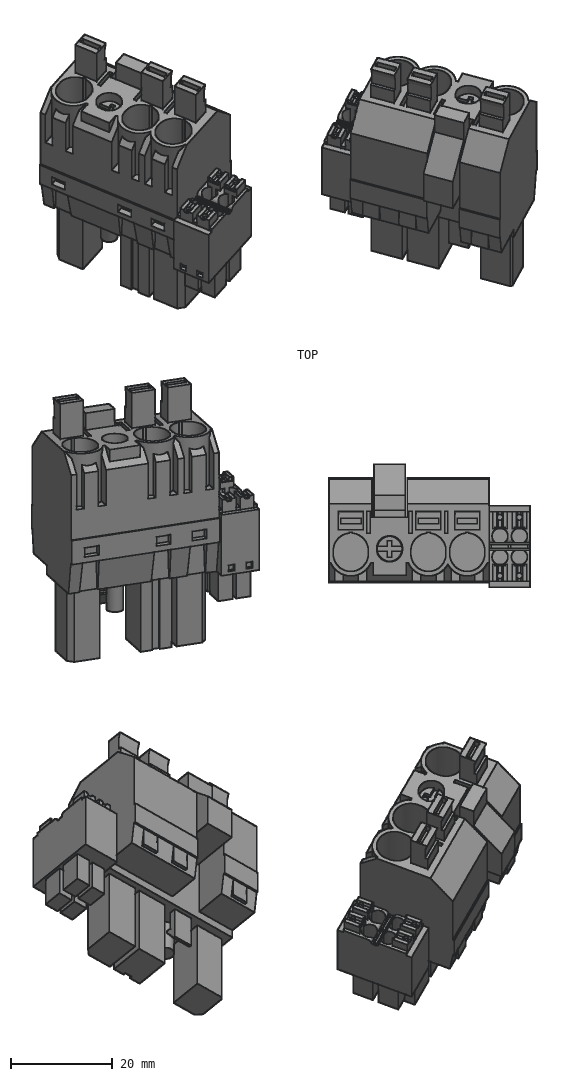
import cadquery as cq
import math


HOUSING_WIDTH = 31.35
HOUSING_DEPTH = 20.0
HOUSING_HEIGHT = 29.2
FRONT_CHAMFER = 3.65
BACK_CHAMFER = 4.85
BAND_BOTTOM = 6.8
BAND_TOP = 11.85
BAND_PROUD = 0.3
SKIRT_TOP_INSET = 0.2
SKIRT_FRONT_INSET = 1.35
SKIRT_BACK_INSET = 0.7
BACK_STEP_Y = 12.55
BACK_STEP_HEIGHT = 1.95

PITCH = 7.6
FIRST_POLE_X = 4.25
SCREW_X = FIRST_POLE_X + PITCH
POLE_XS = [FIRST_POLE_X, FIRST_POLE_X + 2 * PITCH, FIRST_POLE_X + 3 * PITCH]

WIRE_HOLE_WIDTH = 6.9
WIRE_HOLE_LENGTH = 7.5
WIRE_HOLE_Y = 5.7
WIRE_HOLE_DEPTH = 17.7
KEYWAY_WIDTH = 0.6
KEYWAY_DEPTH = 0.15
COLLAR_WALL = 0.9
GROOVE_INNER = 1.5
GROOVE_OUTER = 3.15
GROOVE_BOTTOM = 18.1

WINDOW_WIDTH = 3.0
WINDOW_HEIGHT = 1.95
WINDOW_BOTTOM = 7.95
WINDOW_DEPTH = 1.3
RECESS_TOP_WIDTH = 3.5
RECESS_BOTTOM_WIDTH = 3.9
RECESS_BACK_Y = 1.8
PAD_BOTTOM = 2.6
PAD_THICKNESS = 1.55

SLIT_FRONT_Y = 9.45
SLIT_LENGTH = 4.3
SLIT_WIDTH = 0.7
SLIT_DEPTH = 2.1
SLIT_XS = [7.75, 15.95, 23.0]

PLUG_WIDTH = 6.55
PLUG_FRONT_Y = 3.6
PLUG_BACK_Y = 11.3
FIRST_PLUG_BACK_Y = 10.9
PLUG_LENGTH = 15.55
PLUG_CHAMFER = 1.15
FIRST_PLUG_BACK_CHAMFER = 0.35
KEY_GROOVE_WIDTH = 1.6
KEY_GROOVE_DEPTH = 0.5

LEVER_WIDTH = 4.9
LEVER_FRONT_Y = 10.05
LEVER_BACK_Y = 13.75
LEVER_TOP = 36.6
LEVER_BOTTOM = 25.0
LEVER_LIP = 0.15
LEVER_WAIST = 0.55
LEVER_WAIST_BOTTOM = 32.45
LEVER_WAIST_TOP = 35.2
LEVER_SLOT_LENGTH = 4.0
LEVER_SLOT_WIDTH = 1.05
LEVER_SLOT_Y = 11.85
LEVER_SLOT_DEPTH = 1.55

FLANGE_WIDTH = 6.45
FLANGE_FRONT_Y = 1.15
SCREW_Y = 6.35
SCREW_BORE_RADIUS = 2.55
SCREW_HEAD_RADIUS = 2.45
SCREW_HEAD_TOP = 27.05
SCREW_HEAD_HEIGHT = 4.15
SCREW_SHANK_RADIUS = 1.65
SCREW_TIP = -6.85
SCREW_SLOT_WIDTH = 1.0
CROSS_SLOT_WIDTH = 0.9
CROSS_SLOT_LENGTH = 3.25
SCREW_SLOT_DEPTH = 0.8

LATCH_WIDTH = 6.15
LATCH_SLOT_WIDTH = 6.85
LATCH_FRONT_Y = 13.9
LATCH_SHOULDER_Y = 16.9
LATCH_BACK_Y = 22.95
LATCH_TOP = 32.15
LATCH_SHOULDER_Z = 27.5
LATCH_CORNER_Z = 21.5
LATCH_BOTTOM = 14.2
HINGE_TOP = 23.45

HOOK_WIDTH = 4.1
HOOK_BACK_Y = 11.65
HOOK_STEM_Y = 10.15
HOOK_BARB_Y = 9.1
HOOK_BARB_TOP = -4.15
HOOK_BARB_FACE = 0.35
HOOK_TIP_Y = 11.15
HOOK_TIP = -7.3

BLOCK_WIDTH = 8.0
BLOCK_FRONT_Y = -1.2
BLOCK_BACK_Y = 14.8
BLOCK_MIDDLE_Y = (BLOCK_FRONT_Y + BLOCK_BACK_Y) / 2
BLOCK_WALL = 1.2
BLOCK_HEIGHT = 12.8
DECK_HEIGHT = 13.4
VALLEY_FLOOR_WIDTH = 1.4
VALLEY_SHOULDER_RADIUS = 0.85
VALLEY_FLOOR = DECK_HEIGHT - VALLEY_SHOULDER_RADIUS
SLOT_WIDTH = 0.6
SLOT_DEPTH = 0.15
POCKET_LENGTH = 3.35
POCKET_DEPTH = 0.4
SIGNAL_PITCH = 3.8
FIRST_SIGNAL_X = 33.5
SIGNAL_XS = [FIRST_SIGNAL_X, FIRST_SIGNAL_X + SIGNAL_PITCH]
SIDES = [-1, 1]

SIGNAL_HOLE_RADIUS = 1.55
SIGNAL_HOLE_OFFSET = 2.05
SIGNAL_HOLE_DEPTH = 7.8
SIGNAL_PLUG_WIDTH = 3.1
SIGNAL_PLUG_DEPTH = 4.25
SIGNAL_PLUG_SPAN = 9.75
SIGNAL_PLUG_LENGTH = 6.6
SIGNAL_WINDOW_WIDTH = 1.3
SIGNAL_WINDOW_BOTTOM = 0.7
SIGNAL_WINDOW_DEPTH = 0.8

BUTTON_WIDTH = 2.85
BUTTON_DEPTH = 3.3
BUTTON_TOP = 15.5
BUTTON_BOTTOM = 7.3
BUTTON_OFFSET = BLOCK_BACK_Y - BLOCK_WALL - BUTTON_DEPTH / 2 - BLOCK_MIDDLE_Y
BUTTON_GROOVE_TOP_WIDTH = 1.25
BUTTON_GROOVE_FLOOR_WIDTH = 0.6
BUTTON_GROOVE_DEPTH = 0.5
BUTTON_NOTCH_LENGTH = 2.1
BUTTON_NOTCH_WIDTH = 0.25
BUTTON_NOTCH_DEPTH = 0.8
BUTTON_HOLE_RADIUS = 0.55
BUTTON_HOLE_DEPTH = 1.05
BUTTON_HOLE_OFFSET = 0.55


def box(x_mid, width, y0, y1, z0, z1):
    """Box centred on x_mid, spanning y0..y1 and z0..z1."""
    return cq.Workplane("XY").box(width, y1 - y0, z1 - z0, centered=False).translate(
        (x_mid - width / 2, y0, z0))


def side_extrusion(points, x_mid, width):
    """(Y, Z) outline extruded along X, centred on x_mid."""
    outline = cq.Workplane("YZ").polyline(points).close()
    return outline.extrude(width).translate((x_mid - width / 2, 0, 0))


def cylinder(x, y, radius, z0, z1):
    return cq.Workplane("XY", origin=(x, y, z0)).circle(radius).extrude(z1 - z0)


def oblong(x, length, width, z0, z1):
    """Upright oblong prism at a wire hole, long along Y."""
    sketch = cq.Workplane("XY", origin=(x, WIRE_HOLE_Y, z0)).slot2D(length, width, 90)
    return sketch.extrude(z1 - z0)


def lever(x):
    points = [
        (LEVER_FRONT_Y, LEVER_BOTTOM),
        (LEVER_BACK_Y, LEVER_BOTTOM),
        (LEVER_BACK_Y, LEVER_WAIST_BOTTOM),
        (LEVER_BACK_Y - LEVER_WAIST, LEVER_WAIST_BOTTOM),
        (LEVER_BACK_Y - LEVER_WAIST, LEVER_WAIST_TOP),
        (LEVER_BACK_Y - LEVER_LIP, LEVER_TOP),
        (LEVER_FRONT_Y, LEVER_TOP),
    ]
    slot = box(x, LEVER_SLOT_LENGTH, LEVER_SLOT_Y - LEVER_SLOT_WIDTH / 2,
               LEVER_SLOT_Y + LEVER_SLOT_WIDTH / 2, LEVER_TOP - LEVER_SLOT_DEPTH, LEVER_TOP)
    return side_extrusion(points, x, LEVER_WIDTH).cut(slot)


def screw():
    """Headed screw with a full-width slot crossed by a shorter one."""
    head_bottom = SCREW_HEAD_TOP - SCREW_HEAD_HEIGHT
    head = cylinder(SCREW_X, SCREW_Y, SCREW_HEAD_RADIUS, head_bottom, SCREW_HEAD_TOP)
    shank = cylinder(SCREW_X, SCREW_Y, SCREW_SHANK_RADIUS, SCREW_TIP, head_bottom)
    slot_floor = SCREW_HEAD_TOP - SCREW_SLOT_DEPTH
    slot = box(SCREW_X, 2 * SCREW_HEAD_RADIUS, SCREW_Y - SCREW_SLOT_WIDTH / 2,
               SCREW_Y + SCREW_SLOT_WIDTH / 2, slot_floor, SCREW_HEAD_TOP)
    cross_slot = box(SCREW_X, CROSS_SLOT_WIDTH, SCREW_Y - CROSS_SLOT_LENGTH / 2,
                     SCREW_Y + CROSS_SLOT_LENGTH / 2, slot_floor, SCREW_HEAD_TOP)
    return head.union(shank).cut(slot).cut(cross_slot)


def housing_shell():
    points = [
        (SKIRT_FRONT_INSET, 0),
        (BACK_STEP_Y, 0),
        (BACK_STEP_Y, BACK_STEP_HEIGHT),
        (HOUSING_DEPTH - SKIRT_BACK_INSET, BACK_STEP_HEIGHT),
        (HOUSING_DEPTH, BAND_BOTTOM),
        (HOUSING_DEPTH + BAND_PROUD, BAND_BOTTOM),
        (HOUSING_DEPTH + BAND_PROUD, BAND_TOP),
        (HOUSING_DEPTH, BAND_TOP),
        (HOUSING_DEPTH, HOUSING_HEIGHT - BACK_CHAMFER),
        (HOUSING_DEPTH - BACK_CHAMFER, HOUSING_HEIGHT),
        (FRONT_CHAMFER, HOUSING_HEIGHT),
        (0, HOUSING_HEIGHT - FRONT_CHAMFER),
        (0, BAND_TOP),
        (-BAND_PROUD, BAND_TOP),
        (-BAND_PROUD, BAND_BOTTOM),
        (SKIRT_TOP_INSET, BAND_BOTTOM),
    ]
    return side_extrusion(points, HOUSING_WIDTH / 2, HOUSING_WIDTH)


def wire_collars():
    """Oblong collars around the wire holes, trimmed to the housing's sides."""
    collars = cq.Workplane("XY")
    for x in POLE_XS:
        collars = collars.union(oblong(x, WIRE_HOLE_LENGTH + 2 * COLLAR_WALL,
                                       WIRE_HOLE_WIDTH + 2 * COLLAR_WALL, GROOVE_BOTTOM, HOUSING_HEIGHT))
    limits = box(HOUSING_WIDTH / 2, HOUSING_WIDTH, 0, HOUSING_DEPTH, GROOVE_BOTTOM, HOUSING_HEIGHT)
    return collars.intersect(limits)


def wire_hole(x):
    """Oblong wire hole with a keyway in its back."""
    floor = HOUSING_HEIGHT - WIRE_HOLE_DEPTH
    back_y = WIRE_HOLE_Y + WIRE_HOLE_LENGTH / 2
    keyway = box(x, KEYWAY_WIDTH, WIRE_HOLE_Y, back_y + KEYWAY_DEPTH, floor, HOUSING_HEIGHT)
    return oblong(x, WIRE_HOLE_LENGTH, WIRE_HOLE_WIDTH, floor, HOUSING_HEIGHT).union(keyway)


def front_grooves():
    """Pair of upright front grooves at each pole, reaching back past the collar's surface."""
    grooves = cq.Workplane("XY")
    offset = (GROOVE_INNER + GROOVE_OUTER) / 2
    for x in POLE_XS:
        for side in SIDES:
            grooves = grooves.union(box(x + side * offset, GROOVE_OUTER - GROOVE_INNER, 0,
                                        FRONT_CHAMFER, GROOVE_BOTTOM, HOUSING_HEIGHT))
    return grooves


def skirt_recess(x):
    """Upright recess in the tapered front below the band, slightly wider at the bottom."""
    points = [
        (x - RECESS_BOTTOM_WIDTH / 2, 0),
        (x + RECESS_BOTTOM_WIDTH / 2, 0),
        (x + RECESS_TOP_WIDTH / 2, BAND_BOTTOM),
        (x - RECESS_TOP_WIDTH / 2, BAND_BOTTOM),
    ]
    return cq.Workplane("XZ").polyline(points).close().extrude(-RECESS_BACK_Y)


def front_window(x):
    return box(x, WINDOW_WIDTH, -BAND_PROUD, WINDOW_DEPTH - BAND_PROUD,
               WINDOW_BOTTOM, WINDOW_BOTTOM + WINDOW_HEIGHT)


def back_pad(x):
    return box(x, RECESS_TOP_WIDTH, HOUSING_DEPTH - PAD_THICKNESS, HOUSING_DEPTH, PAD_BOTTOM, BAND_BOTTOM)


def power_plugs():
    """Plugs keyed by left chamfers, a front groove and a right chamfer."""
    first, middle, last = [
        box(x, PLUG_WIDTH, PLUG_FRONT_Y, back_y, -PLUG_LENGTH, 0)
        for x, back_y in zip(POLE_XS, [FIRST_PLUG_BACK_Y, PLUG_BACK_Y, PLUG_BACK_Y])
    ]
    first = first.edges("|Z and <X and <Y").chamfer(PLUG_CHAMFER)
    first = first.edges("|Z and <X and >Y").chamfer(FIRST_PLUG_BACK_CHAMFER)
    last = last.edges("|Z and >X and <Y").chamfer(PLUG_CHAMFER)
    middle = middle.cut(box(POLE_XS[1], KEY_GROOVE_WIDTH, PLUG_FRONT_Y,
                            PLUG_FRONT_Y + KEY_GROOVE_DEPTH, -PLUG_LENGTH, 0))
    return [first, middle, last]


def latch():
    """Latch handle in the rear slot with the hinge web that joins it to the housing."""
    points = [
        (BACK_STEP_Y, LATCH_BOTTOM),
        (LATCH_BACK_Y, LATCH_BOTTOM),
        (LATCH_BACK_Y, LATCH_CORNER_Z),
        (LATCH_SHOULDER_Y, LATCH_SHOULDER_Z),
        (LATCH_SHOULDER_Y, LATCH_TOP),
        (LATCH_FRONT_Y, LATCH_TOP),
        (LATCH_FRONT_Y, HINGE_TOP),
        (BACK_STEP_Y, HINGE_TOP),
    ]
    return side_extrusion(points, SCREW_X, LATCH_WIDTH)


def hook():
    """Barbed hook under the housing behind the screw."""
    points = [
        (HOOK_BACK_Y, 0),
        (HOOK_STEM_Y, 0),
        (HOOK_STEM_Y, HOOK_BARB_TOP),
        (HOOK_BARB_Y, HOOK_BARB_TOP),
        (HOOK_BARB_Y, HOOK_BARB_TOP - HOOK_BARB_FACE),
        (HOOK_TIP_Y, HOOK_TIP),
        (HOOK_BACK_Y, HOOK_TIP),
    ]
    return side_extrusion(points, SCREW_X, HOOK_WIDTH)


def make_housing():
    collars = wire_collars()
    body = housing_shell().cut(front_grooves()).union(collars)
    body = body.union(box(SCREW_X, FLANGE_WIDTH, FLANGE_FRONT_Y, FRONT_CHAMFER,
                          HOUSING_HEIGHT - FRONT_CHAMFER, HOUSING_HEIGHT))
    for x in POLE_XS:
        body = body.cut(wire_hole(x))
        body = body.cut(skirt_recess(x)).cut(front_window(x)).union(back_pad(x))
        body = body.cut(box(x, LEVER_WIDTH, LEVER_FRONT_Y, LEVER_BACK_Y, LEVER_BOTTOM, HOUSING_HEIGHT))
    for x in SLIT_XS:
        body = body.cut(box(x, SLIT_WIDTH, SLIT_FRONT_Y, SLIT_FRONT_Y + SLIT_LENGTH,
                            HOUSING_HEIGHT - SLIT_DEPTH, HOUSING_HEIGHT))
    for plug in power_plugs():
        body = body.union(plug)
    body = body.cut(box(SCREW_X, LATCH_SLOT_WIDTH, BACK_STEP_Y, LATCH_BACK_Y, 0, HOUSING_HEIGHT))
    body = body.union(latch()).union(hook())
    head_bottom = SCREW_HEAD_TOP - SCREW_HEAD_HEIGHT
    head_bore = cylinder(SCREW_X, SCREW_Y, SCREW_BORE_RADIUS, head_bottom, HOUSING_HEIGHT)
    shank_bore = cylinder(SCREW_X, SCREW_Y, SCREW_SHANK_RADIUS, 0, head_bottom)
    return body.cut(head_bore).cut(shank_bore)


def button_blank(x, side):
    y_mid = BLOCK_MIDDLE_Y + side * BUTTON_OFFSET
    return box(x, BUTTON_WIDTH, y_mid - BUTTON_DEPTH / 2, y_mid + BUTTON_DEPTH / 2, BUTTON_BOTTOM, BUTTON_TOP)


def button(x, side):
    """Push button with a tapered top groove, a notch at its inner end and a round hole in it."""
    y_mid = BLOCK_MIDDLE_Y + side * BUTTON_OFFSET
    groove_floor = BUTTON_TOP - BUTTON_GROOVE_DEPTH
    points = [
        (x - BUTTON_GROOVE_TOP_WIDTH / 2, BUTTON_TOP),
        (x - BUTTON_GROOVE_FLOOR_WIDTH / 2, groove_floor),
        (x + BUTTON_GROOVE_FLOOR_WIDTH / 2, groove_floor),
        (x + BUTTON_GROOVE_TOP_WIDTH / 2, BUTTON_TOP),
    ]
    outline = cq.Workplane("XZ", origin=(0, y_mid, 0)).polyline(points).close()
    groove = outline.extrude(BUTTON_DEPTH / 2, both=True)
    hole = cylinder(x, y_mid + side * BUTTON_HOLE_OFFSET, BUTTON_HOLE_RADIUS,
                    BUTTON_TOP - BUTTON_HOLE_DEPTH, BUTTON_TOP)
    notch_y = y_mid - side * (BUTTON_DEPTH - BUTTON_NOTCH_WIDTH) / 2
    notch = box(x, BUTTON_NOTCH_LENGTH, notch_y - BUTTON_NOTCH_WIDTH / 2, notch_y + BUTTON_NOTCH_WIDTH / 2,
                BUTTON_TOP - BUTTON_NOTCH_DEPTH, BUTTON_TOP)
    return button_blank(x, side).cut(groove).cut(hole).cut(notch)


def deck_valley():
    """Valley along the middle of the deck, with rounded shoulders."""
    radius = VALLEY_SHOULDER_RADIUS
    half_floor = VALLEY_FLOOR_WIDTH / 2
    half_top = half_floor + radius
    arc_in = radius * (1 - math.sqrt(0.5))
    arc_down = radius * math.sqrt(0.5)
    return (
        cq.Workplane("YZ", origin=(HOUSING_WIDTH, BLOCK_MIDDLE_Y, VALLEY_FLOOR))
        .moveTo(-half_top, radius)
        .threePointArc((-half_floor - arc_in, arc_down), (-half_floor, 0))
        .lineTo(half_floor, 0)
        .threePointArc((half_floor + arc_in, arc_down), (half_top, radius))
        .close()
        .extrude(BLOCK_WIDTH)
    )


def signal_hole(x, side):
    """Round wire hole, cut off flat along the edge of the valley floor."""
    bottom = BLOCK_HEIGHT - SIGNAL_HOLE_DEPTH
    hole = cylinder(x, BLOCK_MIDDLE_Y + side * SIGNAL_HOLE_OFFSET, SIGNAL_HOLE_RADIUS, bottom, DECK_HEIGHT)
    valley = box(x, SIGNAL_PITCH, BLOCK_MIDDLE_Y - VALLEY_FLOOR_WIDTH / 2,
                 BLOCK_MIDDLE_Y + VALLEY_FLOOR_WIDTH / 2, bottom, DECK_HEIGHT)
    return hole.cut(valley)


def signal_plug(x, side):
    y_mid = BLOCK_MIDDLE_Y + side * (SIGNAL_PLUG_SPAN - SIGNAL_PLUG_DEPTH) / 2
    return box(x, SIGNAL_PLUG_WIDTH, y_mid - SIGNAL_PLUG_DEPTH / 2, y_mid + SIGNAL_PLUG_DEPTH / 2,
               -SIGNAL_PLUG_LENGTH, 0)


def make_signal_block():
    x_mid = HOUSING_WIDTH + BLOCK_WIDTH / 2
    block = box(x_mid, BLOCK_WIDTH, BLOCK_FRONT_Y, BLOCK_BACK_Y, 0, BLOCK_HEIGHT)
    block = block.union(box(x_mid, BLOCK_WIDTH, BLOCK_FRONT_Y + BLOCK_WALL, BLOCK_BACK_Y - BLOCK_WALL,
                            0, DECK_HEIGHT))
    block = block.cut(deck_valley())
    slot_front_y = BLOCK_MIDDLE_Y - SLOT_WIDTH / 2
    slot_back_y = BLOCK_MIDDLE_Y + SLOT_WIDTH / 2
    block = block.cut(box(x_mid, BLOCK_WIDTH, slot_front_y, slot_back_y,
                          VALLEY_FLOOR - SLOT_DEPTH, VALLEY_FLOOR))
    for x in SIGNAL_XS:
        block = block.cut(box(x, POCKET_LENGTH, slot_front_y, slot_back_y,
                              VALLEY_FLOOR - POCKET_DEPTH, VALLEY_FLOOR))
        block = block.cut(box(x, SIGNAL_WINDOW_WIDTH, BLOCK_FRONT_Y, BLOCK_FRONT_Y + SIGNAL_WINDOW_DEPTH,
                              SIGNAL_WINDOW_BOTTOM, SIGNAL_WINDOW_BOTTOM + SIGNAL_WINDOW_WIDTH))
        for side in SIDES:
            block = block.cut(signal_hole(x, side)).cut(button_blank(x, side)).union(signal_plug(x, side))
    return block


housing = make_housing()
levers = [lever(x) for x in POLE_XS]
flange_screw = screw()
signal_block = make_signal_block()
buttons = [button(x, side) for x in SIGNAL_XS for side in SIDES]

bodies = [housing, *levers, flange_screw, signal_block, *buttons]
result = cq.Compound.makeCompound([body.val() for body in bodies])